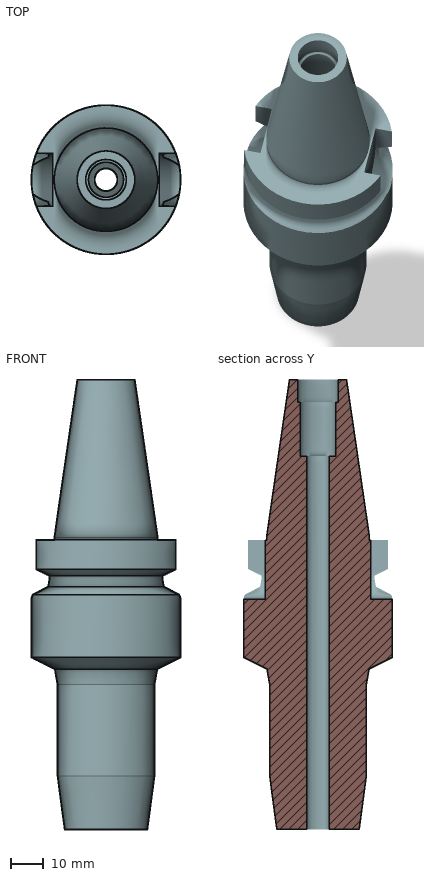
import cadquery as cq

total_length = 138.4
gauge_height = 90.0
flange_top = 89.1
groove_upper_edge = 80.1
groove_floor_top = 78.0
groove_floor_bottom = 74.7
groove_lower_edge = 72.2
collar_bottom = 53.0
shoulder_bottom = 49.4
neck_bottom = 44.7
nose_taper_top = 16.6

shank_tip_radius = 8.9
gauge_radius = 15.9
flange_radius = 23.0
groove_radius = 19.1
shoulder_radius = 15.8
body_radius = 15.0
nose_radius = 12.7

socket_radius = 6.2
socket_depth = 6.8
seat_radius = 5.4
seat_depth = 23.5
through_radius = 3.5

slot_width = 16.2
slot_floor_offset = 16.3
slot_bottom = 71.0


def turned_body():
    """Shank, grooved flange and nose revolved about Z."""
    profile = [
        (0, 0),
        (nose_radius, 0),
        (body_radius, nose_taper_top),
        (body_radius, neck_bottom),
        (shoulder_radius, shoulder_bottom),
        (flange_radius, collar_bottom),
        (flange_radius, groove_lower_edge),
        (groove_radius, groove_floor_bottom),
        (groove_radius, groove_floor_top),
        (flange_radius, groove_upper_edge),
        (flange_radius, flange_top),
        (gauge_radius, flange_top),
        (gauge_radius, gauge_height),
        (shank_tip_radius, total_length),
        (0, total_length),
    ]
    return cq.Workplane("XZ").polyline(profile).close().revolve(360, (0, 0), (0, 1))


def bore_from_top(radius, depth):
    """Cylinder reaching down from the shank end."""
    return cq.Workplane("XY").workplane(offset=total_length - depth).circle(radius).extrude(depth)


def drive_slot():
    """Round-bottomed slot on the +X side, open at the flange top."""
    half_width = slot_width / 2
    arc_center = slot_bottom + half_width
    return (
        cq.Workplane("YZ", origin=(slot_floor_offset, 0, 0))
        .moveTo(-half_width, flange_top)
        .lineTo(-half_width, arc_center)
        .threePointArc((0, slot_bottom), (half_width, arc_center))
        .lineTo(half_width, flange_top)
        .close()
        .extrude(flange_radius)
    )


result = turned_body()

for bore_radius, bore_depth in (
    (socket_radius, socket_depth),
    (seat_radius, seat_depth),
    (through_radius, total_length),
):
    result = result.cut(bore_from_top(bore_radius, bore_depth))

for slot_angle in (0, 180):
    result = result.cut(drive_slot().rotate((0, 0, 0), (0, 0, 1), slot_angle))